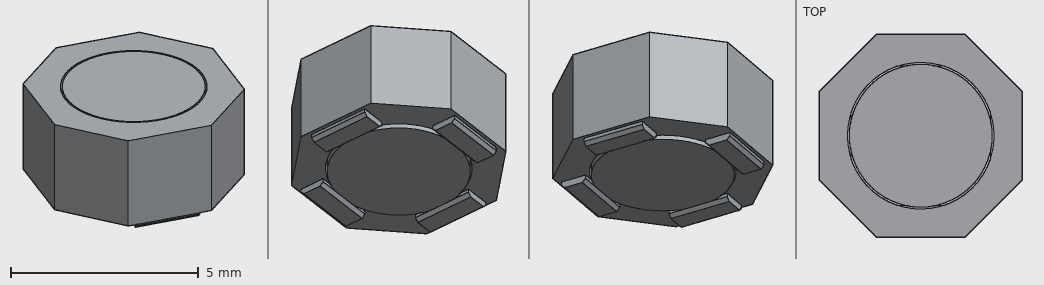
import cadquery as cq

housing_width = 5.4
total_height = 2.8

corner_cut = 1.52
bore_diameter = 3.9

core_diameter = 3.8

terminal_count = 4
terminal_height = 0.2
terminal_width = 1.8
terminal_length = 0.745
terminal_chamfer = terminal_height / 2
terminal_setback = terminal_height / 2

core_bottom = terminal_height / 2
terminal_center_radius = housing_width / 2 - terminal_setback - terminal_length / 2


def make_housing():
    """Octagonal ring standing on the terminals."""
    housing_height = total_height - terminal_height
    block = (
        cq.Workplane("XY")
        .workplane(offset=terminal_height)
        .rect(housing_width, housing_width)
        .extrude(housing_height)
        .edges("|Z")
        .chamfer(corner_cut)
    )
    return block.faces(">Z").workplane().hole(bore_diameter)


def make_terminal(angle):
    """Pad with chamfered inner and outer bottom edges, turned about Z."""
    return (
        cq.Workplane("XY")
        .box(terminal_length, terminal_width, terminal_height, centered=(True, True, False))
        .faces("<Z").edges("|Y")
        .chamfer(terminal_chamfer)
        .translate((terminal_center_radius, 0, 0))
        .rotate((0, 0, 0), (0, 0, 1), angle)
    )


def make_core(terminals):
    """Cylinder with shallow flats where the terminals reach its lower rim."""
    core = (
        cq.Workplane("XY")
        .workplane(offset=core_bottom)
        .circle(core_diameter / 2)
        .extrude(total_height - core_bottom)
    )
    for terminal in terminals:
        core = core.cut(terminal)
    return core


housing = make_housing()
terminals = [make_terminal(index * 360 / terminal_count) for index in range(terminal_count)]
core = make_core(terminals)

result = cq.Compound.makeCompound(
    [housing.val(), core.val(), *[terminal.val() for terminal in terminals]]
)